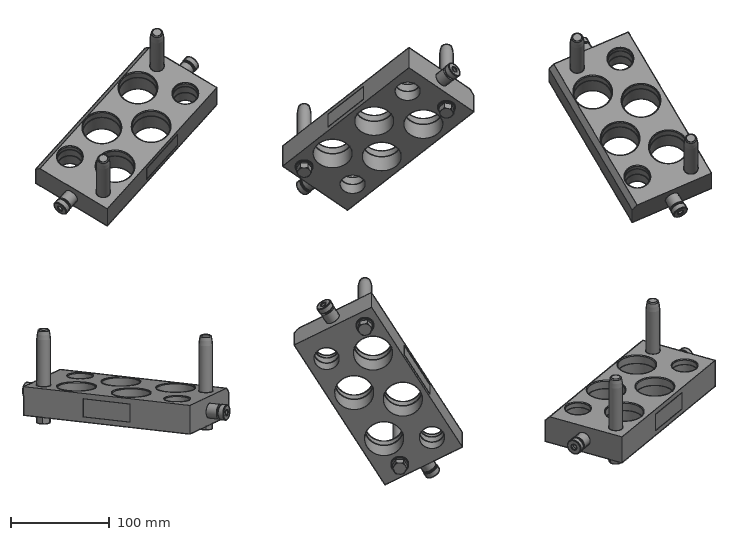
import cadquery as cq
import math

PLATE_WIDTH = 90.0
PLATE_LENGTH = 187.5
PLATE_HEIGHT = 30.0
EDGE_CHAMFER = 5.5
PAD_LENGTH = 52.8
PAD_HEIGHT = 18.8
PAD_THICKNESS = 0.2

BORE_CHAMFER = 1.0
BORE_RELIEF = 0.5
LARGE_RADIUS = 19.3
LARGE_LIP_DEPTH = 9.5
LARGE_LEFT_X = -19.3
LARGE_RIGHT_X = 20.0
LARGE_PITCH = 30.8
LARGE_CENTRES = [
    (LARGE_LEFT_X, 1.5 * LARGE_PITCH),
    (LARGE_RIGHT_X, 0.5 * LARGE_PITCH),
    (LARGE_LEFT_X, -0.5 * LARGE_PITCH),
    (LARGE_RIGHT_X, -1.5 * LARGE_PITCH),
]
SMALL_RADIUS = 12.7
SMALL_LIP_DEPTH = 6.1
SMALL_GROOVE_END = 16.5
SMALL_CENTRES = [(23.5, 68.9), (-24.0, -63.7)]

TRUNNION_END = 113.3
SHANK_RADIUS = 7.6
SHANK_END = 105.1
NECK_RADIUS = 5.2
HEAD_RADIUS = 8.0
HEAD_LENGTH = 6.5
HEAD_CHAMFER = 0.7
SOCKET_RADIUS = 2.7
SOCKET_CHAMFER = 0.7
SOCKET_DEPTH = 3.5
SOCKET_CONE_DEPTH = 1.1

PIN_PLACES = [(-20.0, 79.8, 30.0), (29.0, -78.9, 17.0)]
PIN_RADIUS = 7.0
PIN_RISE = 57.8
LEAD_START = 47.8
LEAD_MIDDLE = 52.8
LEAD_MIDDLE_RADIUS = 6.45
LEAD_END_RADIUS = 5.7
TIP_CHAMFER_HEIGHT = 1.1
TIP_RADIUS = 4.5
PIN_COUNTERSINK = 0.5
FLANGE_RADIUS = 9.0
FLANGE_THICKNESS = 1.8
FLANGE_CHAMFER = 0.7
HEX_FLATS = 13.1
HEX_HEIGHT = 7.5
HEX_CHAMFER = 1.0
HEX_CIRCLE = HEX_FLATS / 2 / math.cos(math.pi / 6)


def revolve_about_z(points):
    """Solid of revolution about Z from an outline of (radius, height) points."""
    return cq.Workplane("XZ").polyline(points).close().revolve(360, (0, 0), (0, 1))


def bore_cutter(radius, lip_depth, relief_end):
    """Chamfered bore whose wall is relieved from lip_depth to relief_end."""
    mouth = radius + BORE_CHAMFER
    relief = radius + BORE_RELIEF
    top = PLATE_HEIGHT
    points = [
        (0, top),
        (mouth, top),
        (radius, top - BORE_CHAMFER),
        (radius, top - lip_depth),
        (relief, top - lip_depth),
        (relief, top - relief_end),
    ]
    if relief_end < PLATE_HEIGHT:
        points += [(radius, top - relief_end), (radius, 0)]
    points.append((0, 0))
    return revolve_about_z(points)


def pin_hole_cutter():
    """Pin hole with a small countersink at the upper face."""
    top = PLATE_HEIGHT
    return revolve_about_z([
        (0, 0),
        (PIN_RADIUS, 0),
        (PIN_RADIUS, top - PIN_COUNTERSINK),
        (PIN_RADIUS + PIN_COUNTERSINK, top),
        (0, top),
    ])


def make_trunnion(turn):
    """Grooved stub along -Y, turned about Z to the wanted end of the plate."""
    root = PLATE_LENGTH / 2
    head_start = TRUNNION_END - HEAD_LENGTH
    rim = HEAD_RADIUS - HEAD_CHAMFER
    socket_floor = TRUNNION_END - SOCKET_DEPTH
    stub = revolve_about_z([
        (0, root),
        (SHANK_RADIUS, root),
        (SHANK_RADIUS, SHANK_END),
        (NECK_RADIUS, SHANK_END),
        (NECK_RADIUS, head_start),
        (rim, head_start),
        (HEAD_RADIUS, head_start + HEAD_CHAMFER),
        (HEAD_RADIUS, TRUNNION_END - HEAD_CHAMFER),
        (rim, TRUNNION_END),
        (SOCKET_RADIUS + SOCKET_CHAMFER, TRUNNION_END),
        (SOCKET_RADIUS, TRUNNION_END - SOCKET_CHAMFER),
        (SOCKET_RADIUS, socket_floor),
        (0, socket_floor - SOCKET_CONE_DEPTH),
    ])
    stub = stub.rotate((0, 0, 0), (1, 0, 0), 90)
    stub = stub.translate((0, 0, PLATE_HEIGHT / 2))
    return stub.rotate((0, 0, 0), (0, 0, 1), turn)


def make_plate():
    """Plate with its bores, pin holes, side pad and end trunnions."""
    on_base = (True, True, False)
    plate = cq.Workplane("XY").box(PLATE_WIDTH, PLATE_LENGTH, PLATE_HEIGHT, centered=on_base)
    plate = plate.edges("<X and >Z").chamfer(EDGE_CHAMFER)
    pad = (
        cq.Workplane("YZ", origin=(PLATE_WIDTH / 2, 0, PLATE_HEIGHT / 2))
        .rect(PAD_LENGTH, PAD_HEIGHT)
        .extrude(PAD_THICKNESS)
    )
    plate = plate.union(pad)

    large_bore = bore_cutter(LARGE_RADIUS, LARGE_LIP_DEPTH, PLATE_HEIGHT)
    for x, y in LARGE_CENTRES:
        plate = plate.cut(large_bore.translate((x, y, 0)))
    small_bore = bore_cutter(SMALL_RADIUS, SMALL_LIP_DEPTH, SMALL_GROOVE_END)
    for x, y in SMALL_CENTRES:
        plate = plate.cut(small_bore.translate((x, y, 0)))
    for x, y, _ in PIN_PLACES:
        plate = plate.cut(pin_hole_cutter().translate((x, y, 0)))
    for turn in (0, 180):
        plate = plate.union(make_trunnion(turn))
    return plate


def make_hex_foot(turn):
    """Hexagon under the flange, its lower corners cut back by a cone."""
    bottom = -FLANGE_THICKNESS - HEX_HEIGHT
    hexagon = (
        cq.Workplane("XY", origin=(0, 0, bottom))
        .polygon(6, 2 * HEX_CIRCLE)
        .extrude(HEX_HEIGHT)
        .rotate((0, 0, 0), (0, 0, 1), turn)
    )
    envelope = (
        cq.Workplane("XY", origin=(0, 0, bottom))
        .circle(HEX_CIRCLE)
        .extrude(HEX_HEIGHT)
        .faces("<Z")
        .chamfer(HEX_CHAMFER)
    )
    return hexagon.intersect(envelope)


def make_pin(x, y, turn):
    """Guide pin through the plate, with a tapered tip and a flanged hexagon foot."""
    top = PLATE_HEIGHT
    shaft = revolve_about_z([
        (0, -FLANGE_THICKNESS),
        (FLANGE_RADIUS - FLANGE_CHAMFER, -FLANGE_THICKNESS),
        (FLANGE_RADIUS, -FLANGE_THICKNESS + FLANGE_CHAMFER),
        (FLANGE_RADIUS, 0),
        (PIN_RADIUS, 0),
        (PIN_RADIUS, top + LEAD_START),
        (LEAD_MIDDLE_RADIUS, top + LEAD_MIDDLE),
        (LEAD_END_RADIUS, top + PIN_RISE - TIP_CHAMFER_HEIGHT),
        (TIP_RADIUS, top + PIN_RISE),
        (0, top + PIN_RISE),
    ])
    return shaft.union(make_hex_foot(turn)).translate((x, y, 0))


plate = make_plate()
pins = [make_pin(x, y, turn) for x, y, turn in PIN_PLACES]

result = cq.Compound.makeCompound([plate.val(), *[pin.val() for pin in pins]])